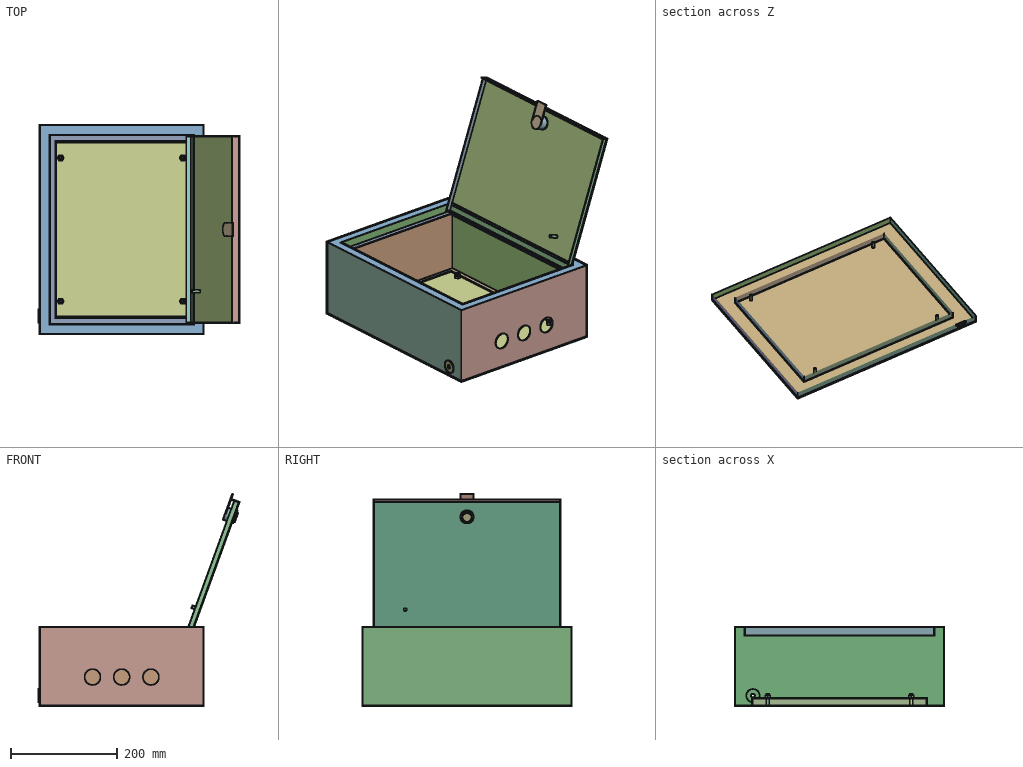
import cadquery as cq
import math

SHEET = 1.5

BOX_X = 310.0
BOX_Y = 395.0
BOX_Z = 150.0
RIM_WIDTH = 20.0
LIP_DEPTH = 16.0
LEDGE_WIDTH = 10.0
OPENING_X = BOX_X - 2 * RIM_WIDTH
OPENING_Y = BOX_Y - 2 * RIM_WIDTH
LEDGE_TOP = BOX_Z - LIP_DEPTH

CABLE_HOLE_D = 30.0
CABLE_HOLE_COUNT = 3
CABLE_HOLE_PITCH = 55.0
CABLE_HOLE_Z = 55.0

EARTH_BOSS_D = 25.0
EARTH_BOSS_HEIGHT = 2.0
EARTH_HOLE_D = 7.0
EARTH_Y = -163.0
EARTH_Z = 20.0

PLATE_X = 249.0
PLATE_Y = 330.0
PLATE_TOP = 16.0
FASTENER_PITCH_X = 230.0
FASTENER_PITCH_Y = 270.0

STUD_D = 5.0
NUT_SIDES = 6
NUT_FLATS = 10.0
NUT_HEIGHT = 5.0
STUD_PROJECTION = 3.0

DOOR_LENGTH = 266.25
DOOR_WIDTH = 353.0
FLANGE = 10.5
FREE_FLANGE = 15.0
OPEN_ANGLE = 70.0
HINGE_X = 131.1
LEDGE_CLEARANCE = 0.6
HINGE_Z = LEDGE_TOP + LEDGE_CLEARANCE

DOOR_STUD_D = 6.0
DOOR_STUD_X = 50.0
DOOR_STUD_Y = -116.5
DOOR_STUD_TIP = 17.0

LOCK_X = 236.5
LOCK_D = 25.0
LOCK_COLLAR = 2.0
LOCK_KNOB_D = 18.0
LOCK_KNOB_TIP = 4.5
CAM_WIDTH = 25.0
CAM_TOP = 18.5
CAM_THICKNESS = 2.0
CAM_END_X = 275.75


def block(size_x, size_y, bottom, top):
    """Upright block centred on the Z axis."""
    height = top - bottom
    return cq.Workplane("XY").workplane(offset=bottom).rect(size_x, size_y).extrude(height)


def rod(diameter, x, y, bottom, top):
    """Upright cylinder."""
    return cq.Workplane("XY", origin=(x, y, bottom)).circle(diameter / 2).extrude(top - bottom)


def open_door(body):
    """Swing a body drawn on the flat door to the open position."""
    swung = body.rotate((0, 0, 0), (0, 1, 0), -OPEN_ANGLE)
    return swung.translate((HINGE_X, 0, HINGE_Z))


def make_box():
    box = block(BOX_X, BOX_Y, 0, BOX_Z)
    box = box.cut(block(BOX_X - 2 * SHEET, BOX_Y - 2 * SHEET, SHEET, BOX_Z - SHEET))
    box = box.cut(block(OPENING_X, OPENING_Y, BOX_Z - SHEET, BOX_Z))

    gutter = block(OPENING_X + 2 * SHEET, OPENING_Y + 2 * SHEET, LEDGE_TOP - SHEET, BOX_Z)
    gutter = gutter.cut(block(OPENING_X, OPENING_Y, LEDGE_TOP, BOX_Z))
    ledge_hole_x = OPENING_X - 2 * LEDGE_WIDTH
    ledge_hole_y = OPENING_Y - 2 * LEDGE_WIDTH
    gutter = gutter.cut(block(ledge_hole_x, ledge_hole_y, LEDGE_TOP - SHEET, LEDGE_TOP))
    box = box.union(gutter)

    cable_holes = (
        cq.Workplane("XZ", origin=(0, -BOX_Y / 2 + SHEET, CABLE_HOLE_Z))
        .rarray(CABLE_HOLE_PITCH, 1, CABLE_HOLE_COUNT, 1)
        .circle(CABLE_HOLE_D / 2)
        .extrude(SHEET)
    )
    box = box.cut(cable_holes)

    earth = cq.Workplane("YZ", origin=(-BOX_X / 2 - EARTH_BOSS_HEIGHT, EARTH_Y, EARTH_Z))
    box = box.union(earth.circle(EARTH_BOSS_D / 2).extrude(EARTH_BOSS_HEIGHT))
    return box.cut(earth.circle(EARTH_HOLE_D / 2).extrude(EARTH_BOSS_HEIGHT + SHEET))


def make_plate(fasteners):
    """Tray turned upside down, pierced by the fasteners."""
    plate = block(PLATE_X, PLATE_Y, SHEET, PLATE_TOP)
    plate = plate.cut(block(PLATE_X - 2 * SHEET, PLATE_Y - 2 * SHEET, SHEET, PLATE_TOP - SHEET))
    for fastener in fasteners:
        plate = plate.cut(fastener)
    return plate


def make_fastener(x, y):
    """Stud standing on the box floor, with a hex nut clamping the plate."""
    nut_top = PLATE_TOP + NUT_HEIGHT
    nut_corners = NUT_FLATS / math.cos(math.pi / NUT_SIDES)
    nut = cq.Workplane("XY", origin=(x, y, PLATE_TOP)).polygon(NUT_SIDES, nut_corners)
    nut = nut.extrude(NUT_HEIGHT)
    return nut.union(rod(STUD_D, x, y, SHEET, nut_top + STUD_PROJECTION))


def make_door(box, lock):
    profile = [
        (0, 0),
        (DOOR_LENGTH, 0),
        (DOOR_LENGTH, FREE_FLANGE),
        (DOOR_LENGTH - SHEET, FREE_FLANGE),
        (DOOR_LENGTH - SHEET, FLANGE),
        (0, FLANGE),
    ]
    door = cq.Workplane("XZ").polyline(profile).close().extrude(DOOR_WIDTH / 2, both=True)
    inside = block(DOOR_LENGTH - 2 * SHEET, DOOR_WIDTH - 2 * SHEET, SHEET, FLANGE)
    door = door.cut(inside.translate((DOOR_LENGTH / 2, 0, 0)))
    door = door.union(rod(DOOR_STUD_D, DOOR_STUD_X, DOOR_STUD_Y, 0, DOOR_STUD_TIP))

    return open_door(door).cut(lock).cut(box)


def make_lock():
    collar = rod(LOCK_D, LOCK_X, 0, -LOCK_COLLAR, 0)
    knob = rod(LOCK_KNOB_D, LOCK_X, 0, -LOCK_KNOB_TIP, SHEET)
    barrel = rod(LOCK_D, LOCK_X, 0, SHEET, CAM_TOP)
    cam_length = CAM_END_X - LOCK_X
    cam = (
        cq.Workplane("XY", origin=(LOCK_X, 0, CAM_TOP - CAM_THICKNESS))
        .moveTo(0, CAM_WIDTH / 2)
        .lineTo(cam_length, CAM_WIDTH / 2)
        .lineTo(cam_length, -CAM_WIDTH / 2)
        .lineTo(0, -CAM_WIDTH / 2)
        .threePointArc((-CAM_WIDTH / 2, 0), (0, CAM_WIDTH / 2))
        .close()
        .extrude(CAM_THICKNESS)
    )
    return open_door(collar.union(knob).union(barrel).union(cam))


box = make_box()
fasteners = [
    make_fastener(side_x * FASTENER_PITCH_X / 2, side_y * FASTENER_PITCH_Y / 2)
    for side_x in (-1, 1)
    for side_y in (-1, 1)
]
plate = make_plate(fasteners)
lock = make_lock()
door = make_door(box, lock)

result = cq.Compound.makeCompound(
    [box.val(), plate.val(), door.val(), lock.val(), *[fastener.val() for fastener in fasteners]]
)